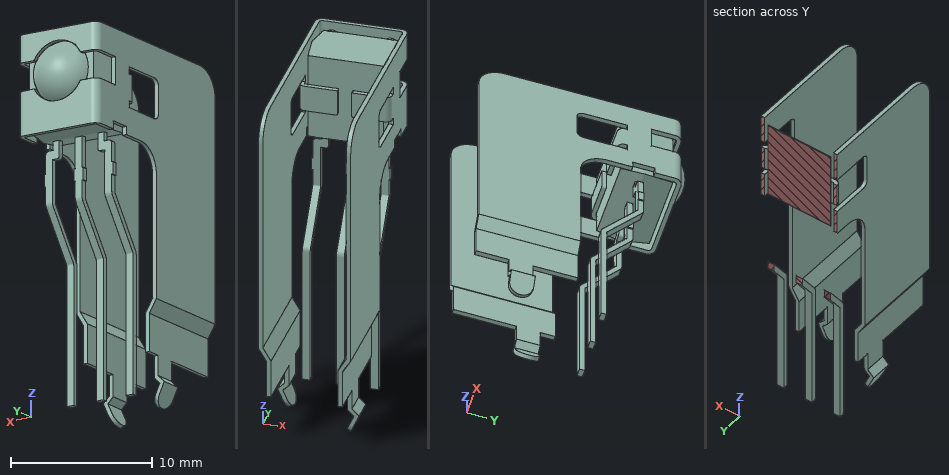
import cadquery as cq
import math


SHEET = 0.35
WIDTH = 6.8
HEIGHT = 26.15
DEPTH = 15.2
BEND_RADIUS = 0.58
PLATE_BOTTOM = 18.65
LEG_FRONT = 7.6
LEG_BOTTOM = 3.7
LEG_CORNER_RADIUS = 2.0
JOG = 0.6
JOG_TOP = 7.5
JOG_BOTTOM = 6.5

FOOT_WIDTH = 1.78
FOOT_TIP_RADIUS = 0.85
LEFT_FOOT_DEPTH = 9.62
RIGHT_FOOT_DEPTH = 11.85
HOOK_OUT = 0.52
HOOK_TOP = 2.2
HOOK_POINT = 1.67
HOOK_ANGLE = 24.5

CORNER_NOTCH_DEPTH = 2.35
CORNER_NOTCH_HEIGHT = 2.1
EDGE_NOTCH_FRONT = 2.1
EDGE_NOTCH_REAR = 3.75
EDGE_NOTCH_HEIGHT = 0.6

WINDOW_FRONT = 4.13
WINDOW_REAR = 7.87
WINDOW_TOP = 23.75
WINDOW_BOTTOM = 20.75
WINDOW_RADIUS = 0.5
TAB_TOP = 23.22
TAB_BOTTOM = 21.23
TAB_END = 0.52
TAB_BEND_RADIUS = 0.45
TAB_CORNER_RADIUS = 0.13

BODY_WIDTH = 5.95
BODY_HEIGHT = 6.95
BODY_CENTRE_Z = 22.28
BODY_FRONT = 0.55
PARTING_DEPTH = 2.75
BODY_BACK = 4.45
DRAFT_ANGLE = 6.6
DOME_CENTRE_Z = 23.0
DOME_HEIGHT = 1.12
DOME_RADIUS = 2.38
DOME_HOLE_RADIUS = 2.22
POST_RADIUS = 0.55
POST_X = 2.17
POST_Z = 24.95

PIN_THICKNESS = 0.42
PIN_WIDTH = 0.6
PIN_PITCH = 2.5
PIN_UPPER_BACK = PARTING_DEPTH + PIN_THICKNESS
PIN_OFFSET = 2.75
PIN_BEND_TOP = 14.3
PIN_BEND_BOTTOM = 10.56
PIN_BEND_RADIUS = 0.15
PIN_TOP = BODY_CENTRE_Z
NECK_WIDTH = 0.5
NECK_INNER_X = 1.65
NECK_JOG_TOP = 18.15
NECK_JOG_BOTTOM = 17.47
NECK_OUTER_RADIUS = 0.3
NECK_INNER_RADIUS = 0.15
STUB = 0.092
STUB_TOP = 16.5
STUB_BOTTOM = 15.55

HALF_WIDTH = WIDTH / 2
LOWER_LEG_X = HALF_WIDTH - JOG


def strip(path, thickness):
    """Closed outline of a bent strip: the path and its mitred offset on the right-hand side."""
    headings = [
        math.atan2(end[1] - start[1], end[0] - start[0])
        for start, end in zip(path, path[1:])
    ]
    arriving = headings[:1] + headings
    leaving = headings + headings[-1:]
    offset = []
    for (a, b), before, after in zip(path, arriving, leaving):
        middle = (before + after) / 2
        miter = thickness / math.cos((after - before) / 2)
        offset.append((a + miter * math.sin(middle), b - miter * math.cos(middle)))
    return path + offset[::-1]


def block(x_range, depth_range, z_range):
    """Box between two x values, two depths behind the front plate, and two heights."""
    size = (x_range[1] - x_range[0], depth_range[1] - depth_range[0], z_range[1] - z_range[0])
    return cq.Workplane("XY").box(*size, centered=False).translate(
        (x_range[0], -depth_range[1], z_range[0])
    )


def channel():
    """U-shaped sheet: front plate, bent corners and the straight part of the legs."""
    z_range = (JOG_TOP, HEIGHT)
    inner_x = HALF_WIDTH - SHEET
    outer = block((-HALF_WIDTH, HALF_WIDTH), (0, DEPTH), z_range)
    inner = block((-inner_x, inner_x), (SHEET, DEPTH), z_range)
    outer = outer.edges("|Z and >Y").fillet(BEND_RADIUS)
    inner = inner.edges("|Z and >Y").fillet(BEND_RADIUS - SHEET)
    return outer.cut(inner)


def lower_leg():
    """+X leg from just above the inward jog down to its lower edge."""
    overlap = 2 * SHEET
    path = [
        (HALF_WIDTH, JOG_TOP + overlap),
        (HALF_WIDTH, JOG_TOP),
        (LOWER_LEG_X, JOG_BOTTOM),
        (LOWER_LEG_X, LEG_BOTTOM),
    ]
    return cq.Workplane("XZ").polyline(strip(path, SHEET)).close().extrude(DEPTH)


def side_outline():
    """Solid as wide as the shield with the side outline of the legs."""
    return (
        cq.Workplane("YZ")
        .moveTo(0, PLATE_BOTTOM)
        .lineTo(0, HEIGHT)
        .lineTo(-DEPTH + LEG_CORNER_RADIUS, HEIGHT)
        .radiusArc((-DEPTH, HEIGHT - LEG_CORNER_RADIUS), -LEG_CORNER_RADIUS)
        .lineTo(-DEPTH, LEG_BOTTOM)
        .lineTo(-LEG_FRONT, LEG_BOTTOM)
        .lineTo(-LEG_FRONT, PLATE_BOTTOM - LEG_CORNER_RADIUS)
        .radiusArc((-LEG_FRONT + LEG_CORNER_RADIUS, PLATE_BOTTOM), LEG_CORNER_RADIUS)
        .close()
        .extrude(HALF_WIDTH, both=True)
    )


def foot(depth):
    """Barbed, round-ended foot of the +X leg, centred at the given depth."""
    overlap = SHEET
    barb_x = LOWER_LEG_X + HOOK_OUT
    tip_x = barb_x - HOOK_POINT * math.tan(math.radians(HOOK_ANGLE))
    path = [
        (LOWER_LEG_X, LEG_BOTTOM + overlap),
        (LOWER_LEG_X, HOOK_TOP),
        (barb_x, HOOK_POINT),
        (tip_x, 0),
    ]
    blade = cq.Workplane("XZ").polyline(strip(path, SHEET)).close().extrude(FOOT_WIDTH / 2, both=True)
    tip_edges = blade.faces("<Z").edges("not |Y")
    return tip_edges.fillet(FOOT_TIP_RADIUS).translate((0, -depth, 0))


def window():
    """Cutter for the leg windows, rounded at the rear corners only."""
    cutter = block((-HALF_WIDTH, HALF_WIDTH), (WINDOW_FRONT, WINDOW_REAR), (WINDOW_BOTTOM, WINDOW_TOP))
    return cutter.edges("|X and <Y").fillet(WINDOW_RADIUS)


def tab():
    """Tab of the +X leg, folded inward behind the lens body."""
    tab_back = BODY_BACK + SHEET
    outer = block((TAB_END, HALF_WIDTH), (WINDOW_FRONT, tab_back), (TAB_BOTTOM, TAB_TOP))
    inner = block((TAB_END, HALF_WIDTH - SHEET), (WINDOW_FRONT, BODY_BACK), (TAB_BOTTOM, TAB_TOP))
    outer = outer.edges("|Z and >X and <Y").fillet(TAB_BEND_RADIUS)
    inner = inner.edges("|Z and >X and <Y").fillet(TAB_BEND_RADIUS - SHEET)
    return outer.cut(inner).edges("|Y and <X and <Z").fillet(TAB_CORNER_RADIUS)


def notches():
    """Cutters for the corner notches, the lower edge notches and the dome hole."""
    full_width = (-HALF_WIDTH, HALF_WIDTH)
    half_notch = CORNER_NOTCH_HEIGHT / 2
    corner = block(
        full_width, (0, CORNER_NOTCH_DEPTH), (DOME_CENTRE_Z - half_notch, DOME_CENTRE_Z + half_notch)
    )
    edge = block(
        full_width,
        (EDGE_NOTCH_FRONT, EDGE_NOTCH_REAR),
        (PLATE_BOTTOM, PLATE_BOTTOM + EDGE_NOTCH_HEIGHT),
    )
    dome_hole = cq.Workplane("XZ").center(0, DOME_CENTRE_Z).circle(DOME_HOLE_RADIUS).extrude(SHEET)
    return corner.union(edge).union(dome_hole)


def make_shield():
    leg = lower_leg()
    sheet = channel().union(leg).union(leg.mirror("YZ")).intersect(side_outline())
    sheet = sheet.cut(notches()).cut(window())
    sheet = sheet.union(tab()).union(tab().mirror("YZ"))
    return sheet.union(foot(RIGHT_FOOT_DEPTH)).union(foot(LEFT_FOOT_DEPTH).mirror("YZ"))


def tapered_half(length):
    """Half of the lens block, narrowing from the parting plane toward -Y."""
    return (
        cq.Workplane("XZ", origin=(0, -PARTING_DEPTH, BODY_CENTRE_Z))
        .rect(BODY_WIDTH, BODY_HEIGHT)
        .extrude(length, taper=DRAFT_ANGLE)
    )


def make_lens_body():
    back = tapered_half(BODY_BACK - PARTING_DEPTH)
    front = tapered_half(PARTING_DEPTH - BODY_FRONT).mirror("XZ", (0, -PARTING_DEPTH, 0))
    dome = cq.Workplane("XY").sphere(DOME_RADIUS).translate((0, DOME_HEIGHT - DOME_RADIUS, DOME_CENTRE_Z))
    in_front = block(
        (-HALF_WIDTH, HALF_WIDTH), (-DOME_RADIUS, PARTING_DEPTH), (PLATE_BOTTOM, HEIGHT)
    )
    posts = (
        cq.Workplane("XZ", origin=(0, -SHEET, POST_Z))
        .pushPoints([(-POST_X, 0), (POST_X, 0)])
        .circle(POST_RADIUS)
        .extrude(PARTING_DEPTH - SHEET)
    )
    return back.union(front).union(dome.intersect(in_front)).union(posts)


def pin_side_profile():
    """Sheet bent to the side shape of a pin, wide enough for all three pins."""
    lower_back = PIN_UPPER_BACK + PIN_OFFSET
    path = [
        (-lower_back, 0),
        (-lower_back, PIN_BEND_BOTTOM),
        (-PIN_UPPER_BACK, PIN_BEND_TOP),
        (-PIN_UPPER_BACK, PIN_TOP),
    ]
    outline = strip(path, PIN_THICKNESS)
    _, lower_outer, upper_inner, _, _, upper_outer, lower_inner, _ = outline
    sheet = cq.Workplane("YZ").polyline(outline).close().extrude(HALF_WIDTH, both=True)
    rounded_bends = [
        (upper_inner, PIN_BEND_RADIUS),
        (lower_inner, PIN_BEND_RADIUS),
        (upper_outer, PIN_BEND_RADIUS + PIN_THICKNESS),
        (lower_outer, PIN_BEND_RADIUS + PIN_THICKNESS),
    ]
    for (y, z), radius in rounded_bends:
        sheet = sheet.edges(cq.NearestToPointSelector((0, y, z))).fillet(radius)
    return sheet


def pin_blank(x_range, z_range):
    """Flat stretch of pin, as deep as all bends of the side profile."""
    return block(x_range, (0, DEPTH), z_range)


def centre_pin_outline():
    half = PIN_WIDTH / 2
    shank = pin_blank((-half, half), (0, PIN_TOP))
    stubs = pin_blank((-half - STUB, half + STUB), (STUB_BOTTOM, STUB_TOP))
    return shank.union(stubs)


def outer_pin_outline():
    """Front outline of the +X pin, whose neck is jogged toward the centre."""
    inner_x = PIN_PITCH - PIN_WIDTH / 2
    outer_x = PIN_PITCH + PIN_WIDTH / 2
    shank = pin_blank((inner_x, outer_x), (0, NECK_JOG_BOTTOM))
    stub = pin_blank((inner_x, outer_x + STUB), (STUB_BOTTOM, STUB_TOP))
    jog = pin_blank((NECK_INNER_X, outer_x), (NECK_JOG_BOTTOM, NECK_JOG_TOP))
    jog = jog.edges("|Y and >X and >Z").fillet(NECK_OUTER_RADIUS)
    jog = jog.edges("|Y and <X and <Z").fillet(NECK_INNER_RADIUS)
    neck = pin_blank((NECK_INNER_X, NECK_INNER_X + NECK_WIDTH), (NECK_JOG_TOP, PIN_TOP))
    return shank.union(stub).union(jog).union(neck)


def make_pins(lens_body):
    """Three pins, each ending flush against the underside of the lens body."""
    outer = outer_pin_outline()
    outlines = [outer.mirror("YZ"), centre_pin_outline(), outer]
    side_profile = pin_side_profile()
    return [outline.intersect(side_profile).cut(lens_body) for outline in outlines]


shield = make_shield()
lens_body = make_lens_body()
pins = make_pins(lens_body)
result = cq.Compound.makeCompound([shield.val(), lens_body.val(), *[pin.val() for pin in pins]])